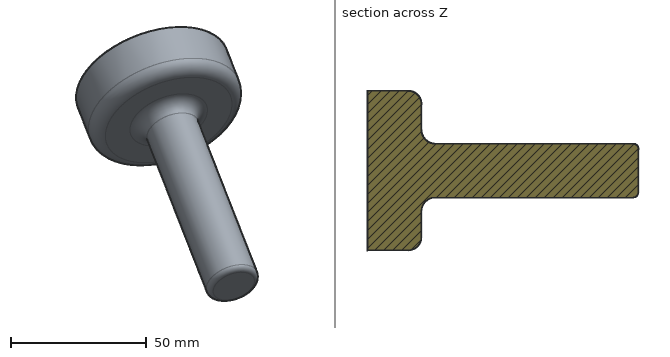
import cadquery as cq

total_length = 100.0
head_diameter = 59.0
head_thickness = 20.0
stem_diameter = 20.0
head_rim_radius = 5.0
stem_root_radius = 5.0
stem_tip_radius = 2.0

head_radius = head_diameter / 2
stem_radius = stem_diameter / 2

profile = (
    cq.Workplane("XY")
    .moveTo(0, 0)
    .lineTo(0, head_radius)
    .lineTo(head_thickness - head_rim_radius, head_radius)
    .radiusArc((head_thickness, head_radius - head_rim_radius), head_rim_radius)
    .lineTo(head_thickness, stem_radius + stem_root_radius)
    .radiusArc((head_thickness + stem_root_radius, stem_radius), -stem_root_radius)
    .lineTo(total_length - stem_tip_radius, stem_radius)
    .radiusArc((total_length, stem_radius - stem_tip_radius), stem_tip_radius)
    .lineTo(total_length, 0)
    .close()
)

result = profile.revolve(360, (0, 0, 0), (1, 0, 0))